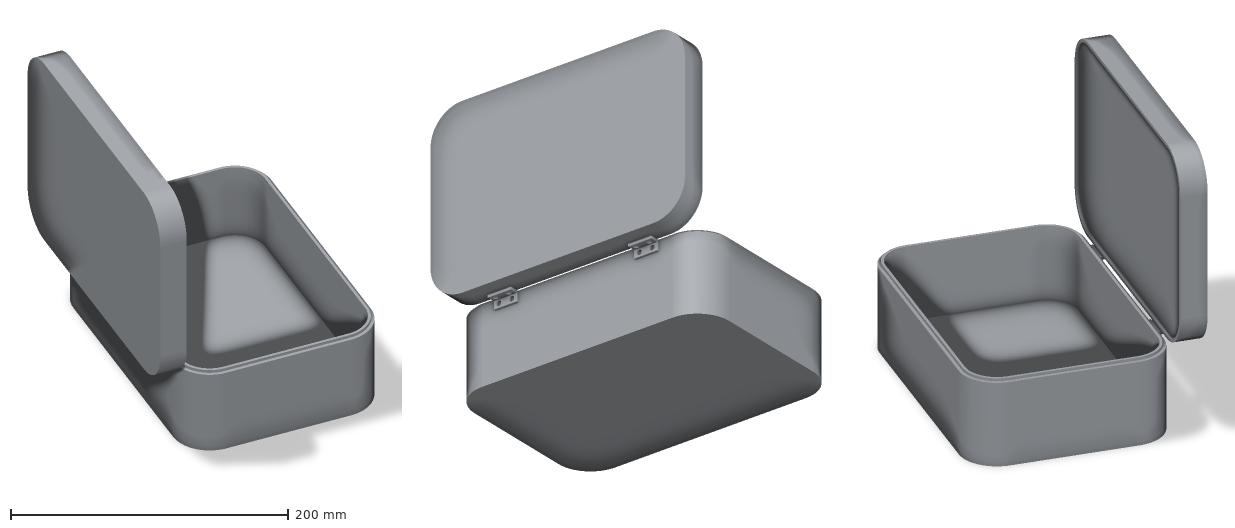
import cadquery as cq

case_width = 232.1
case_depth = 156.7

rim_height = 67.3
floor_thickness = 9.3
lip_inset = 2.5
lip_height = 2.3
lip_width = 2.2
wall = lip_inset + lip_width
cavity_radius = 24.1
corner_radius = cavity_radius + wall

lid_thickness = 21.0

hinge_gap = 2.3
barrel_radius = hinge_gap / 2
hinge_spacing = 128.1
leaf_width = 21.4
leaf_reach = 9.3
leaf_thickness = hinge_gap
leaf_edge_chamfer = 0.2
screw_hole_diameter = 4.5
screw_hole_spacing = 11.8
screw_hole_reach = 5.5


def rounded_prism(inset, height):
    """Case outline, moved inwards by an inset and extruded upwards from Z = 0."""
    return (
        cq.Workplane("XY")
        .rect(case_width - 2 * inset, case_depth - 2 * inset)
        .extrude(height)
        .edges("|Z")
        .fillet(corner_radius - inset)
    )


def make_box():
    """Open box whose rim carries a raised lip along the inner edge of the wall."""
    lip_top = rim_height + lip_height
    outside = rounded_prism(0, rim_height).union(rounded_prism(lip_inset, lip_top))
    cavity = rounded_prism(wall, lip_top - floor_thickness).translate((0, 0, floor_thickness))
    return outside.cut(cavity).translate((0, case_depth / 2, 0))


def make_lid():
    """Lid with a shallow recess that takes the box's lip, turned to face the box (+Y)."""
    plate = rounded_prism(0, lid_thickness)
    recess = rounded_prism(lip_inset, lip_height)
    upright = plate.cut(recess).rotate((0, 0, 0), (1, 0, 0), 90)
    return upright.translate((0, -hinge_gap, rim_height + case_depth / 2))


def make_leaf_plate(start):
    """Leaf on the box wall, from a start depth below the rim (Z = 0) down to the leaf reach."""
    plate = (
        cq.Workplane("XY")
        .box(leaf_width, leaf_thickness, leaf_reach - start, centered=(True, False, False))
        .translate((0, -leaf_thickness, -leaf_reach))
        .faces("<Y")
        .edges("<Z or <X or >X")
        .chamfer(leaf_edge_chamfer)
    )
    screw_holes = (
        cq.Workplane("XZ", origin=(0, 0, -screw_hole_reach))
        .pushPoints([(-screw_hole_spacing / 2, 0), (screw_hole_spacing / 2, 0)])
        .circle(screw_hole_diameter / 2)
        .extrude(leaf_thickness)
    )
    return plate.cut(screw_holes)


def make_box_leaf():
    """Leaf on the box wall, with the barrel along its top edge."""
    barrel = (
        cq.Workplane("YZ", origin=(-leaf_width / 2, -barrel_radius, -barrel_radius))
        .circle(barrel_radius)
        .extrude(leaf_width)
    )
    return make_leaf_plate(barrel_radius).union(barrel)


def make_lid_leaf():
    """Leaf under the lid: the plate turned a quarter about the barrel's axis, beside the barrel."""
    axis_start = (0, -barrel_radius, -barrel_radius)
    axis_end = (1, -barrel_radius, -barrel_radius)
    mirrored = make_leaf_plate(2 * barrel_radius).mirror("XZ", (0, -barrel_radius, 0))
    return mirrored.rotate(axis_start, axis_end, -90)


box = make_box()
lid = make_lid()
hinge_leaves = []
for side in (-1, 1):
    hinge_place = (side * hinge_spacing / 2, 0, rim_height)
    hinge_leaves.append(make_box_leaf().translate(hinge_place).val())
    hinge_leaves.append(make_lid_leaf().translate(hinge_place).val())

result = cq.Compound.makeCompound([box.val(), lid.val(), *hinge_leaves])